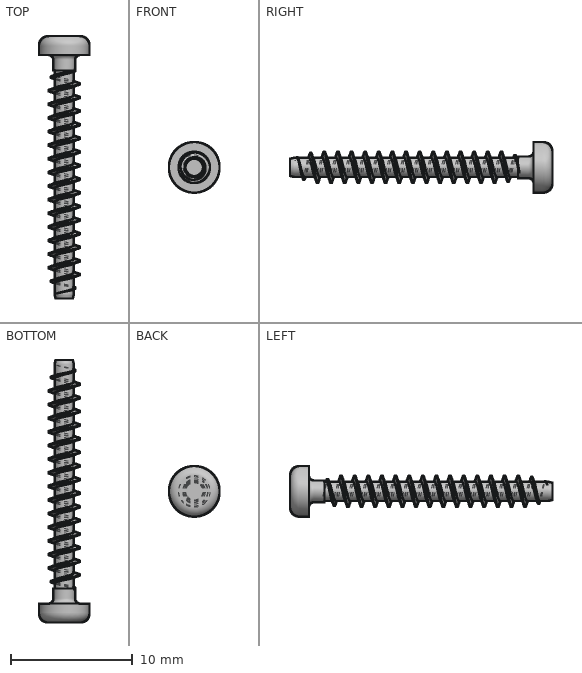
import cadquery as cq
import math

total_length = 21.6
head_radius = 2.1
head_height = 1.58
head_round = 0.8
tip_depth = total_length - head_height

neck_radius = 0.9
neck_fillet = 0.39
neck_depth = 1.25
core_radius = 0.8
tip_radius = 0.71
tip_taper = 0.32

crest_radius = 1.3
buried_radius = 0.65
full_turns = 14
full_thread_length = 15.68
pitch = full_thread_length / full_turns
full_thread_depth = 2.35
start_runout_turns = 1.2
end_runout_turns = 1.5
start_crest_radius = 0.86
end_crest_radius = 0.75
crest_width = 0.05
root_width = 0.45
points_per_turn = 12


def make_body():
    """Head, neck and core as one revolved outline."""
    arc_middle = math.sqrt(0.5)
    round_center_x = head_radius - head_round
    round_center_y = head_height - head_round
    fillet_center_x = neck_radius + neck_fillet
    outline = (
        cq.Workplane("XY")
        .moveTo(0, head_height)
        .lineTo(round_center_x, head_height)
        .threePointArc(
            (round_center_x + head_round * arc_middle, round_center_y + head_round * arc_middle),
            (head_radius, round_center_y),
        )
        .lineTo(head_radius, 0)
        .lineTo(fillet_center_x, 0)
        .threePointArc(
            (fillet_center_x - neck_fillet * arc_middle, -neck_fillet * (1 - arc_middle)),
            (neck_radius, -neck_fillet),
        )
        .lineTo(neck_radius, -neck_depth)
        .lineTo(core_radius, -neck_depth)
        .lineTo(core_radius, tip_taper - tip_depth)
        .lineTo(tip_radius, -tip_depth)
        .lineTo(0, -tip_depth)
        .close()
    )
    return outline.revolve(360, (0, 0, 0), (0, 1, 0))


def crest_radius_at(turn):
    """Crest radius, reduced linearly with turns before turn 0 and after the last full turn."""
    if turn < 0:
        return crest_radius + (crest_radius - start_crest_radius) * turn / start_runout_turns
    if turn > full_turns:
        share = (turn - full_turns) / end_runout_turns
        return crest_radius + (end_crest_radius - crest_radius) * share
    return crest_radius


def thread_point(turn, at_crest, side):
    """Corner of the thread section; side is +1 toward the head and -1 toward the tip."""
    angle = 2 * math.pi * turn
    crest = crest_radius_at(turn)
    height_share = (crest - buried_radius) / (crest_radius - buried_radius)
    radius = crest if at_crest else buried_radius
    width = (crest_width if at_crest else root_width) * height_share
    y = -full_thread_depth - pitch * turn + side * width / 2
    return cq.Vector(radius * math.cos(angle), y, radius * math.sin(angle))


def thread_piece(first_turn, last_turn):
    """Stretch of thread closed by four helical faces and two flat end caps."""
    steps = math.ceil((last_turn - first_turn) * points_per_turn)
    turns = [first_turn + (last_turn - first_turn) * step / steps for step in range(steps + 1)]
    rails = []
    for at_crest, side in ((False, -1), (True, -1), (True, 1), (False, 1)):
        rails.append(cq.Edge.makeSpline([thread_point(turn, at_crest, side) for turn in turns]))
    faces = []
    for index, rail in enumerate(rails):
        faces.append(cq.Face.makeRuledSurface(rails[index - 1], rail))
    for corners in ([r.startPoint() for r in rails], [r.endPoint() for r in rails]):
        faces.append(cq.Face.makeFromWires(cq.Wire.makePolygon(corners, close=True)))
    solid = cq.Solid.makeSolid(cq.Shell.makeShell(faces))
    return cq.Workplane(solid.fix())


result = make_body().union(thread_piece(-start_runout_turns, 0))
for full_turn in range(full_turns):
    result = result.union(thread_piece(full_turn, full_turn + 1))
result = result.union(thread_piece(full_turns, full_turns + end_runout_turns))